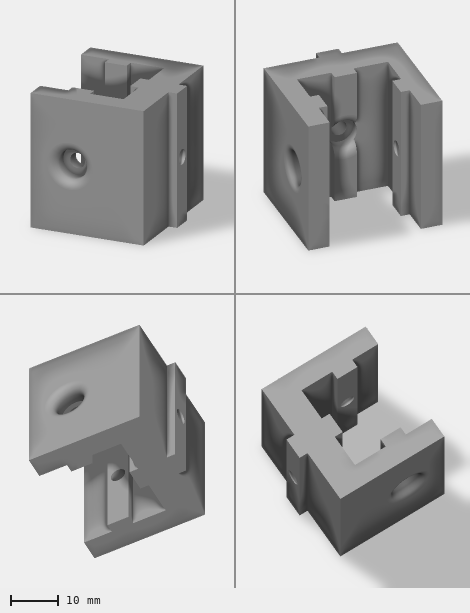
import cadquery as cq
import math

height = 30.0
width = 30.0
body_length = 26.0
side_wall = 4.8
web = 6.8

rib_width = 5.0
rib_height = 1.98
side_rib_x = 9.0

bore_diameter = 3.4
seat_diameter = 6.5
flare_radius = 1.98
seat_depth = 4.0
cut_overshoot = 0.3

mid_height = height / 2
web_inner_x = body_length - web
wall_inner_y = width / 2 - side_wall


def box(x_start, x_end, y_start, y_end):
    """Full-height block between two X and two Y positions."""
    block = cq.Workplane("XY").box(x_end - x_start, y_end - y_start, height, centered=False)
    return block.translate((x_start, y_start, 0))


def screw_cutter(hole_length):
    """Cutter with its mouth on Z = 0, running down -Z and overshooting the far end."""
    seat_radius = seat_diameter / 2
    mouth_radius = seat_radius + flare_radius
    bore_radius = bore_diameter / 2
    bore_end = hole_length + cut_overshoot
    arc_offset = flare_radius * math.cos(math.pi / 4)
    arc_mid = (mouth_radius - arc_offset, -flare_radius + arc_offset)
    profile = (
        cq.Workplane("XZ")
        .moveTo(0, 0)
        .lineTo(mouth_radius, 0)
        .threePointArc(arc_mid, (seat_radius, -flare_radius))
        .lineTo(seat_radius, -seat_depth)
        .lineTo(bore_radius, -seat_depth)
        .lineTo(bore_radius, -bore_end)
        .lineTo(0, -bore_end)
        .close()
    )
    return profile.revolve(360, (0, 0, 0), (0, 1, 0))


result = box(0, body_length, -width / 2, width / 2)
result = result.cut(box(0, web_inner_x, -wall_inner_y, wall_inner_y))

rib_start = side_rib_x - rib_width / 2
rib_end = side_rib_x + rib_width / 2
result = result.union(box(rib_start, rib_end, wall_inner_y - rib_height, wall_inner_y))
result = result.union(box(rib_start, rib_end, -wall_inner_y, -wall_inner_y + rib_height))
result = result.union(
    box(web_inner_x - rib_height, body_length + rib_height, -rib_width / 2, rib_width / 2)
)

side_cutter = screw_cutter(side_wall + rib_height)
for outer_y, tilt in ((-width / 2, 90), (width / 2, -90)):
    tilted_cutter = side_cutter.rotate((0, 0, 0), (1, 0, 0), tilt)
    result = result.cut(tilted_cutter.translate((side_rib_x, outer_y, mid_height)))

web_cutter = screw_cutter(web + 2 * rib_height).rotate((0, 0, 0), (0, 1, 0), -90)
result = result.cut(web_cutter.translate((web_inner_x - rib_height, 0, mid_height)))